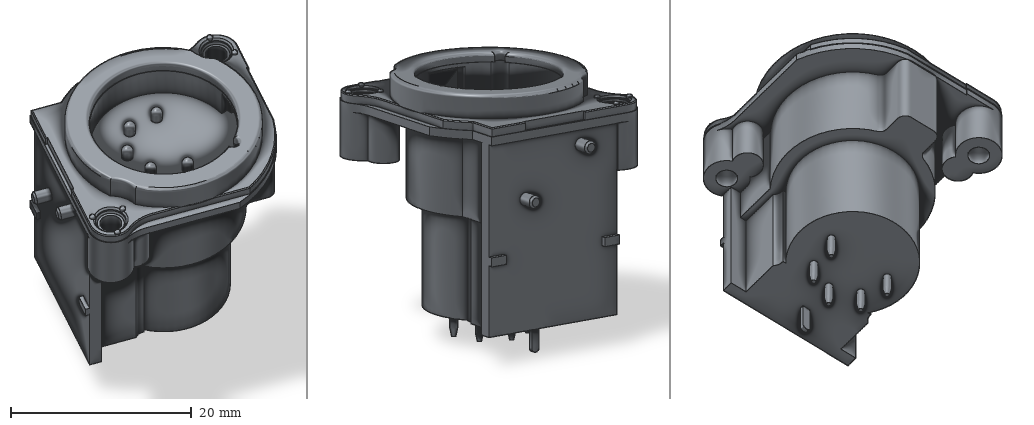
import cadquery as cq
import math


RING_TOP = 2.73
FLANGE_STEP = -1.0
FLANGE_BOTTOM = -2.0
CUP_FLOOR = -1.9
BOSS_BOTTOM = -7.47
SHELL_BOTTOM = -11.75
BODY_BOTTOM = -23.98
BLADE_TIP = RING_TOP - 30.35

FLANGE_R = 12.5
EAR_R = 2.58
EAR_POS = FLANGE_R - EAR_R
EAR_BLEND_R = 4.85
UPPER_HALF_WIDTH = 10.77
LOWER_HALF_WIDTH = 11.6
UPPER_INSET = 0.1
REAR_STEP_X = -6.25
REAR_Y = 12.35
PLATE_HALF_WIDTH = 8.77
FLANGE_EDGE_CHAMFER = 0.12
NOTCH_WIDTH = 8.2
NOTCH_DEPTH = 0.35

RING_R = 10.93
LIP_R = 8.22
CUP_R = 8.15
LIP_BOTTOM = 1.65
RING_FILLET = 0.42
KEYWAY_R = 0.65
KEYWAY_POS = 5.98
CUP_KEYWAY_R = 1.0
CUP_KEYWAY_POS = 5.65
SCALLOP_R = 3.55
LATCH_SLOT_HALF_WIDTH = 2.2
LATCH_SLOT_SLOPE_Y = 8.8
LATCH_SLOT_END_Y = 11.15
LATCH_SLOT_CEILING = 0.8
LATCH_MOUTH_HALF_WIDTH = 2.43
LATCH_MOUTH_Y = 7.75
LATCH_UNDERCUT_HALF_WIDTH = 2.73
LATCH_UNDERCUT_Y = 8.5
LATCH_MOUTH_CEILING = 1.2

SCREW_HOLE_R = 1.2
SEAT_R = 1.7
SEAT_FLOOR_R = 1.502
SEAT_RIM_R = 1.9
SEAT_DEPTH = 0.6
BUMP_DIAMETER = 0.67
BUMP_HEIGHT = 0.25
BUMP_FILLET = 0.15
BUMP_CIRCLE_R = 2.05
LOBE_R = 1.75
LOBE_X = 9.32
LOBE_Y = 6.98

SHELL_R = 9.15
SHELL_BLOCK_HALF_WIDTH = 7.47
BODY_R = 7.4
BODY_BLOCK_HALF_WIDTH = 6.68
BODY_BLOCK_BACK_Y = -4.6
BODY_GROOVE_R = 1.2
BODY_GROOVE_X = 7.4
BODY_GROOVE_Y = -4.75
PLATE_BACK_Y = -10.6
PLATE_FRONT_Y = -12.0
LATCH_HALF_WIDTH = 2.65
LATCH_CORNER_R = 1.12
LATCH_BLEND_R = 0.88
LATCH_BACK_Y = 12.45

PEG_DIAMETER = 1.5
PEG_TIP_DIAMETER = 1.0
PEG_TIP_Y = -14.0
PEG_POSITIONS = [(3.8, -3.8), (-3.8, -8.9)]
TAB_WIDTH = 2.03
TAB_HEIGHT = 1.03
TAB_TOP = -14.78

CONTACTS = [(-4.25, 0.75), (-3.3, -2.75), (0.0, -4.28), (3.3, -2.75), (4.07, 1.35)]
CONTACT_DIAMETER = 1.27
CONTACT_TOP = -0.3
TAIL_DIAMETER = 0.9
TAIL_TIP_DIAMETER = 0.5
TAIL_SHOULDER = -26.1
TAIL_TIP = -27.07
BLADE_WIDTH = 1.0
BLADE_THICKNESS = 0.5
BLADE_Y = -8.5

SCREW_CENTRES = [(-EAR_POS, EAR_POS, 180.0), (EAR_POS, -EAR_POS, 0.0)]


def cylinder(radius, bottom, top, x=0.0, y=0.0):
    return cq.Workplane("XY", origin=(x, y, bottom)).circle(radius).extrude(top - bottom)


def block(x_min, x_max, y_min, y_max, bottom, top):
    corner = cq.Workplane("XY", origin=(x_min, y_min, bottom))
    return corner.box(x_max - x_min, y_max - y_min, top - bottom, centered=False)


def polar(x, y, radius, degrees):
    angle = math.radians(degrees)
    return (x + radius * math.cos(angle), y + radius * math.sin(angle))


def flange_layer(half_width, inset, bottom, top):
    """Flange slab with two ears, each blended into a straight side by a tangent concave arc."""
    reach = FLANGE_R - inset
    ear_r = EAR_R - inset
    rear_y = REAR_Y - inset
    front_half_width = PLATE_HALF_WIDTH - inset
    blend_x = half_width + EAR_BLEND_R
    across = blend_x - EAR_POS
    blend_y = EAR_POS - math.sqrt((ear_r + EAR_BLEND_R) ** 2 - across ** 2)
    blend_angle = math.degrees(math.atan2(EAR_POS - blend_y, across))
    ear_end = polar(-EAR_POS, EAR_POS, ear_r, 180 + blend_angle)
    ear_middle = polar(-EAR_POS, EAR_POS, ear_r, 135 + blend_angle / 2)
    blend_middle = polar(-blend_x, blend_y, EAR_BLEND_R, blend_angle / 2)

    def opposite(point):
        return (-point[0], -point[1])

    def on_corner_arc(x, sign):
        return (x, sign * math.sqrt(reach ** 2 - x ** 2))

    rear_arc_start = (math.sqrt(reach ** 2 - rear_y ** 2), rear_y)
    outline = (
        cq.Workplane("XY", origin=(0, 0, bottom))
        .moveTo(-EAR_POS, reach)
        .threePointArc(ear_middle, ear_end)
        .threePointArc(blend_middle, (-half_width, blend_y))
        .lineTo(*on_corner_arc(-half_width, -1))
        .threePointArc(
            on_corner_arc(-(half_width + front_half_width) / 2, -1),
            on_corner_arc(-front_half_width, -1),
        )
        .lineTo(-front_half_width, -reach)
        .lineTo(EAR_POS, -reach)
        .threePointArc(opposite(ear_middle), opposite(ear_end))
        .threePointArc(opposite(blend_middle), (half_width, -blend_y))
        .lineTo(*on_corner_arc(half_width, 1))
        .threePointArc(polar(0, 0, reach, 45), rear_arc_start)
        .lineTo(REAR_STEP_X, rear_y)
        .lineTo(REAR_STEP_X, reach)
        .close()
    )
    return outline.extrude(top - bottom)


def flange():
    upper = flange_layer(UPPER_HALF_WIDTH, UPPER_INSET, FLANGE_STEP, 0)
    upper = upper.faces(">Z").chamfer(FLANGE_EDGE_CHAMFER)
    notch = block(
        -NOTCH_WIDTH / 2, NOTCH_WIDTH / 2, -FLANGE_R, -FLANGE_R + NOTCH_DEPTH, FLANGE_STEP, 0
    )
    lower = flange_layer(LOWER_HALF_WIDTH, 0, FLANGE_BOTTOM, FLANGE_STEP)
    return upper.cut(notch).union(lower)


def mating_ring():
    """Raised ring with a scallop beside each screw and a keyed, rounded mouth."""
    ring = cylinder(RING_R, -FLANGE_EDGE_CHAMFER, RING_TOP)
    for x, y, _ in SCREW_CENTRES:
        ring = ring.cut(cylinder(SCALLOP_R, 0, RING_TOP, x, y))
    ring = ring.cut(cylinder(LIP_R, LIP_BOTTOM, RING_TOP))
    ring = ring.cut(cylinder(KEYWAY_R, LIP_BOTTOM, RING_TOP, KEYWAY_POS, KEYWAY_POS))
    return ring.faces(">Z").edges().fillet(RING_FILLET)


def upper_shell():
    """Round shell with a flat-sided front block and a blended latch housing at the rear."""
    shell = cylinder(SHELL_R, SHELL_BOTTOM, FLANGE_BOTTOM)
    shell = shell.union(
        block(
            -SHELL_BLOCK_HALF_WIDTH, SHELL_BLOCK_HALF_WIDTH,
            PLATE_BACK_Y, 0,
            SHELL_BOTTOM, FLANGE_BOTTOM,
        )
    )
    latch = block(-LATCH_HALF_WIDTH, LATCH_HALF_WIDTH, 0, LATCH_BACK_Y, SHELL_BOTTOM, FLANGE_BOTTOM)
    shell = shell.union(latch.edges("|Z and >Y").fillet(LATCH_CORNER_R))
    corner_y = math.sqrt(SHELL_R ** 2 - LATCH_HALF_WIDTH ** 2)
    middle_z = (SHELL_BOTTOM + FLANGE_BOTTOM) / 2
    for side in (-1, 1):
        corner = cq.selectors.NearestToPointSelector((side * LATCH_HALF_WIDTH, corner_y, middle_z))
        shell = shell.edges("|Z").edges(corner).fillet(LATCH_BLEND_R)
    return shell


def lower_body():
    """Slimmer round body whose front block has a concave groove along each back edge."""
    front = block(
        -BODY_BLOCK_HALF_WIDTH, BODY_BLOCK_HALF_WIDTH,
        PLATE_BACK_Y, BODY_BLOCK_BACK_Y,
        BODY_BOTTOM, SHELL_BOTTOM,
    )
    for side in (-1, 1):
        front = front.cut(
            cylinder(BODY_GROOVE_R, BODY_BOTTOM, SHELL_BOTTOM, side * BODY_GROOVE_X, BODY_GROOVE_Y)
        )
    return front.union(cylinder(BODY_R, BODY_BOTTOM, SHELL_BOTTOM))


def front_plate():
    plate = block(
        -PLATE_HALF_WIDTH, PLATE_HALF_WIDTH, PLATE_FRONT_Y, PLATE_BACK_Y, BODY_BOTTOM, FLANGE_BOTTOM
    )
    for x_min in (-PLATE_HALF_WIDTH, PLATE_HALF_WIDTH - TAB_WIDTH):
        plate = plate.union(
            block(x_min, x_min + TAB_WIDTH, -FLANGE_R, PLATE_BACK_Y, TAB_TOP - TAB_HEIGHT, TAB_TOP)
        )
    peg = (
        cq.Workplane("XZ", origin=(0, PLATE_BACK_Y, 0))
        .pushPoints(PEG_POSITIONS)
        .circle(PEG_DIAMETER / 2)
        .extrude(PLATE_BACK_Y - PEG_TIP_Y)
        .faces("<Y")
        .chamfer((PEG_DIAMETER - PEG_TIP_DIAMETER) / 2)
    )
    return plate.union(peg)


def screw_bosses():
    """Screw columns under the ears, each with a smaller column beside it."""
    bosses = cq.Workplane("XY")
    for x, y, _ in SCREW_CENTRES:
        side = math.copysign(1, x)
        bosses = bosses.union(cylinder(EAR_R, BOSS_BOTTOM, FLANGE_STEP, x, y))
        bosses = bosses.union(
            cylinder(LOBE_R, BOSS_BOTTOM, FLANGE_STEP, side * LOBE_X, -side * LOBE_Y)
        )
    plate_clearance = block(
        0, PLATE_HALF_WIDTH, -FLANGE_R, PLATE_FRONT_Y, BOSS_BOTTOM, FLANGE_BOTTOM
    )
    return bosses.cut(plate_clearance)


def latch_slot():
    """Slot behind the cup: an undercut mouth, then a straight run under a sloping ceiling."""
    slope_drop = LATCH_SLOT_END_Y - LATCH_SLOT_SLOPE_Y
    run = (
        cq.Workplane("YZ")
        .polyline([
            (0, CUP_FLOOR),
            (LATCH_SLOT_END_Y, CUP_FLOOR),
            (LATCH_SLOT_END_Y, LATCH_SLOT_CEILING - slope_drop),
            (LATCH_SLOT_SLOPE_Y, LATCH_SLOT_CEILING),
            (0, LATCH_SLOT_CEILING),
        ])
        .close()
        .extrude(LATCH_SLOT_HALF_WIDTH, both=True)
    )
    mouth = (
        cq.Workplane("XY", origin=(0, 0, CUP_FLOOR))
        .polyline([
            (LATCH_MOUTH_HALF_WIDTH, LATCH_MOUTH_Y),
            (LATCH_UNDERCUT_HALF_WIDTH, LATCH_UNDERCUT_Y),
            (LATCH_SLOT_HALF_WIDTH, LATCH_SLOT_SLOPE_Y),
            (-LATCH_SLOT_HALF_WIDTH, LATCH_SLOT_SLOPE_Y),
            (-LATCH_UNDERCUT_HALF_WIDTH, LATCH_UNDERCUT_Y),
            (-LATCH_MOUTH_HALF_WIDTH, LATCH_MOUTH_Y),
        ])
        .close()
        .extrude(LATCH_MOUTH_CEILING - CUP_FLOOR)
    )
    return run.union(mouth)


def cup_cavity():
    """Cup below the lip with its wider keyway and the latch slot at the rear."""
    cavity = cylinder(CUP_R, CUP_FLOOR, LIP_BOTTOM)
    keyway = cylinder(CUP_KEYWAY_R, CUP_FLOOR, LIP_BOTTOM, CUP_KEYWAY_POS, CUP_KEYWAY_POS)
    return cavity.union(keyway).union(latch_slot())


def screw_hole(x, y):
    """Through hole with a bevelled, flat-bottomed seat for the screw head."""
    rim = SEAT_RIM_R - SEAT_R
    floor_bevel = SEAT_R - SEAT_FLOOR_R
    return (
        cq.Workplane("XZ")
        .polyline([
            (0, 0),
            (SEAT_RIM_R, 0),
            (SEAT_R, -rim),
            (SEAT_R, floor_bevel - SEAT_DEPTH),
            (SEAT_FLOOR_R, -SEAT_DEPTH),
            (SCREW_HOLE_R, -SEAT_DEPTH),
            (SCREW_HOLE_R, BOSS_BOTTOM),
            (0, BOSS_BOTTOM),
        ])
        .close()
        .revolve(360, (0, 0, 0), (0, 1, 0))
        .translate((x, y, 0))
    )


def seat_bumps(x, y, first_angle):
    """Three rounded bumps around a screw seat."""
    bumps = cq.Workplane("XY")
    for turn in (0, 120, 240):
        bump_x, bump_y = polar(x, y, BUMP_CIRCLE_R, first_angle + turn)
        bump = cylinder(BUMP_DIAMETER / 2, FLANGE_STEP, BUMP_HEIGHT, bump_x, bump_y)
        bumps = bumps.union(bump.faces(">Z").edges().fillet(BUMP_FILLET))
    return bumps


def contact(x, y):
    """Domed contact in the cup and the tapered solder tail below the body."""
    radius = CONTACT_DIAMETER / 2
    dome_base = CONTACT_TOP - radius
    head = cylinder(radius, CUP_FLOOR, dome_base, x, y)
    head = head.union(cq.Workplane("XY", origin=(x, y, dome_base)).sphere(radius))
    tail = cylinder(TAIL_DIAMETER / 2, TAIL_SHOULDER, BODY_BOTTOM, x, y)
    tip = (
        cq.Workplane("XY", origin=(x, y, TAIL_SHOULDER))
        .circle(TAIL_DIAMETER / 2)
        .workplane(offset=TAIL_TIP - TAIL_SHOULDER)
        .circle(TAIL_TIP_DIAMETER / 2)
        .loft()
    )
    return head, tail.union(tip)


def ground_blade():
    half_width = BLADE_WIDTH / 2
    half_thickness = BLADE_THICKNESS / 2
    shank = block(
        -half_width, half_width,
        BLADE_Y - half_thickness, BLADE_Y + half_thickness,
        BLADE_TIP + half_width, BODY_BOTTOM,
    )
    round_end = (
        cq.Workplane("XZ", origin=(0, BLADE_Y, BLADE_TIP + half_width))
        .circle(half_width)
        .extrude(half_thickness, both=True)
    )
    return shank.union(round_end)


result = flange().union(mating_ring()).union(upper_shell()).union(lower_body())
result = result.union(front_plate()).union(screw_bosses()).cut(cup_cavity())
for screw_x, screw_y, first_bump in SCREW_CENTRES:
    result = result.cut(screw_hole(screw_x, screw_y))
    result = result.union(seat_bumps(screw_x, screw_y, first_bump))
for contact_x, contact_y in CONTACTS:
    for contact_part in contact(contact_x, contact_y):
        result = result.union(contact_part)
result = result.union(ground_blade())